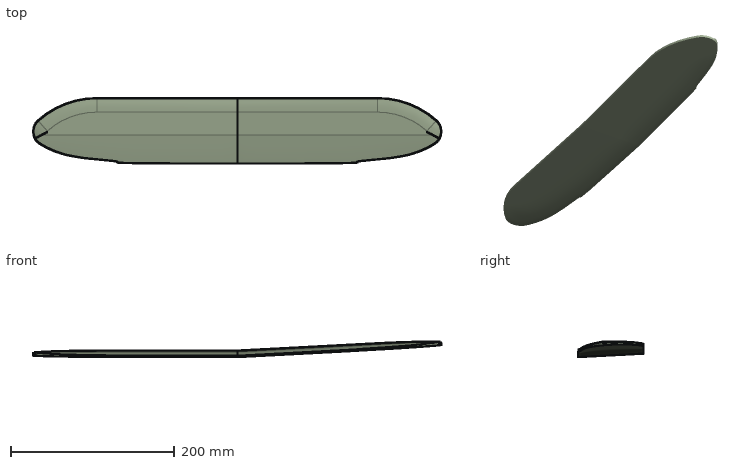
import cadquery as cq
import math

CHORD = 80.25
HALF_SPAN = 250.05
THICKNESS = 4.8
INCIDENCE_ANGLE = 3.0
DIHEDRAL_ANGLE = 3.0

LEADING_STRAIGHT = 172.0
SHOULDER_RADIUS = 108.0
TIP_RADIUS = 18.0
STRIP_END_ANGLE = -28.0
TRAILING_STRAIGHT = 65.0
TRAILING_CURVE_POINTS = [(150.0, 2.8), (205.0, 9.5), (238.0, 22.0)]

CREST_CHORD = 35.0
TRAILING_EDGE_HEIGHT = 1.8

NOSE_WIDTH = 17.0
NOSE_EDGE_HEIGHT = 2.8

BEND_OVERLAP = 5.0
CUT_MARGIN = 3.0
TRIM_SIZE = 2 * HALF_SPAN

shoulder_center = (LEADING_STRAIGHT, CHORD - SHOULDER_RADIUS)
tip_center_x = HALF_SPAN - TIP_RADIUS
tip_center_y = shoulder_center[1] + math.sqrt(
    (SHOULDER_RADIUS - TIP_RADIUS) ** 2 - (tip_center_x - LEADING_STRAIGHT) ** 2
)
tip_center = (tip_center_x, tip_center_y)
LEADING_ANGLE = 90.0
blend_angle = math.degrees(
    math.atan2(tip_center[1] - shoulder_center[1], tip_center[0] - shoulder_center[0])
)


def on_circle(center, radius, angle):
    """Point of a circle at an angle in degrees from its first axis."""
    turn = math.radians(angle)
    return (center[0] + radius * math.cos(turn), center[1] + radius * math.sin(turn))


def add_leading_outline(sketch):
    """Draw the leading edge from the bend, over the shoulder and round the tip."""
    shoulder_middle = on_circle(shoulder_center, SHOULDER_RADIUS, (LEADING_ANGLE + blend_angle) / 2)
    shoulder_end = on_circle(shoulder_center, SHOULDER_RADIUS, blend_angle)
    tip_middle = on_circle(tip_center, TIP_RADIUS, (blend_angle + STRIP_END_ANGLE) / 2)
    tip_end = on_circle(tip_center, TIP_RADIUS, STRIP_END_ANGLE)
    return (
        sketch.moveTo(-BEND_OVERLAP, CHORD)
        .lineTo(LEADING_STRAIGHT, CHORD)
        .threePointArc(shoulder_middle, shoulder_end)
        .threePointArc(tip_middle, tip_end)
    )


def plate():
    """Flat plate with the full plan outline."""
    tip_end_tangent = on_circle((0, 0), 1, STRIP_END_ANGLE - 90)
    trailing_points = TRAILING_CURVE_POINTS[::-1] + [(TRAILING_STRAIGHT, 0)]
    return (
        add_leading_outline(cq.Workplane("XY"))
        .spline(trailing_points, tangents=[tip_end_tangent, (-1, 0)], includeCurrent=True)
        .lineTo(-BEND_OVERLAP, 0)
        .close()
        .extrude(THICKNESS)
    )


def taper_cutter():
    """Wedge above the sloping face between the crest and the trailing edge."""
    slope = (THICKNESS - TRAILING_EDGE_HEIGHT) / CREST_CHORD
    return (
        cq.Workplane("YZ", origin=(-BEND_OVERLAP, 0, 0))
        .moveTo(CREST_CHORD, THICKNESS)
        .lineTo(-CUT_MARGIN, TRAILING_EDGE_HEIGHT - slope * CUT_MARGIN)
        .lineTo(-CUT_MARGIN, THICKNESS)
        .close()
        .extrude(HALF_SPAN + 2 * BEND_OVERLAP)
    )


def nose_cutter():
    """Space above the rounded strip, an arc tangent to the flat top, swept along the outline."""
    drop = THICKNESS - NOSE_EDGE_HEIGHT
    radius = (NOSE_WIDTH**2 + drop**2) / (2 * drop)
    arc_start = CHORD - NOSE_WIDTH
    arc_angle = math.degrees(math.asin(NOSE_WIDTH / radius))
    arc_middle = on_circle((arc_start, THICKNESS - radius), radius, 90 - arc_angle / 2)
    profile = (
        cq.Workplane("YZ", origin=(-BEND_OVERLAP, 0, 0))
        .moveTo(arc_start, THICKNESS)
        .threePointArc(arc_middle, (CHORD, NOSE_EDGE_HEIGHT))
        .lineTo(CHORD + CUT_MARGIN, NOSE_EDGE_HEIGHT)
        .lineTo(CHORD + CUT_MARGIN, THICKNESS + CUT_MARGIN)
        .lineTo(arc_start, THICKNESS + CUT_MARGIN)
        .close()
    )
    return profile.sweep(add_leading_outline(cq.Workplane("XY")))


def panel(dihedral):
    """Panel on the +X side, tilted by its incidence and dihedral and trimmed at the bend."""
    flat = plate().cut(nose_cutter()).cut(taper_cutter())
    tilted = flat.rotate((0, 0, 0), (1, 0, 0), INCIDENCE_ANGLE).rotate((0, 0, 0), (0, 1, 0), -dihedral)
    positive_side = cq.Workplane("XY").box(TRIM_SIZE, TRIM_SIZE, TRIM_SIZE, centered=(False, True, True))
    return tilted.intersect(positive_side)


level_panel = panel(0).mirror("YZ")
raised_panel = panel(DIHEDRAL_ANGLE)
result = level_panel.union(raised_panel)